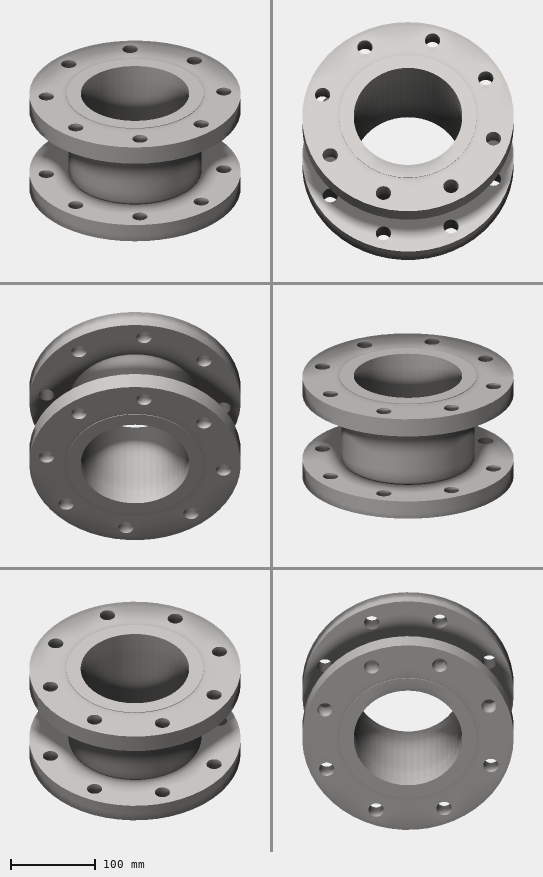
import cadquery as cq

total_length = 130.0
bore_diameter = 128.2

flange_diameter = 250.0
flange_thickness = 22.2
raised_face_diameter = 162.0
raised_face_height = 0.8

body_diameter = 157.8
body_edge_radius = 3.0

bolt_hole_count = 8
bolt_hole_diameter = 18.0
bolt_circle_diameter = 210.0
first_bolt_angle = 180.0 / bolt_hole_count

face_z = total_length / 2
flange_outer_z = face_z - raised_face_height
flange_inner_z = flange_outer_z - flange_thickness


def disc(diameter, bottom_z, top_z):
    """Solid cylinder on the Z axis between two heights."""
    return cq.Workplane("XY").workplane(offset=bottom_z).circle(diameter / 2).extrude(top_z - bottom_z)


def make_body():
    """Pipe body with both end edges rounded where it meets the flanges."""
    return disc(body_diameter, -flange_inner_z, flange_inner_z).edges().fillet(body_edge_radius)


def make_top_flange():
    """Flange plate with a shallow raised sealing face on top."""
    plate = disc(flange_diameter, flange_inner_z, flange_outer_z)
    raised_face = disc(raised_face_diameter, flange_outer_z, face_z)
    return plate.union(raised_face)


def make_bolt_holes():
    """Ring of bolt hole cutters passing through both flanges."""
    return (
        cq.Workplane("XY")
        .workplane(offset=-face_z)
        .polarArray(bolt_circle_diameter / 2, first_bolt_angle, 360, bolt_hole_count)
        .circle(bolt_hole_diameter / 2)
        .extrude(total_length)
    )


top_flange = make_top_flange()
bottom_flange = top_flange.mirror("XY")
bore = disc(bore_diameter, -face_z, face_z)

result = make_body().union(top_flange).union(bottom_flange).cut(bore).cut(make_bolt_holes())